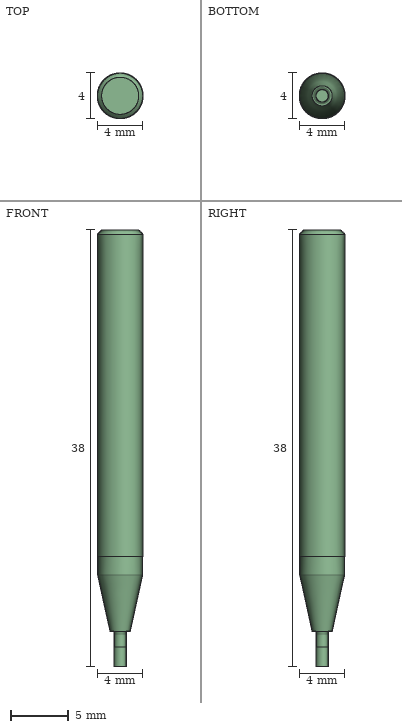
import cadquery as cq

total_length = 38.0

head_diameter = 1.1
head_length = 1.7

neck_diameter = 1.05
neck_top = 2.85
cone_bottom = 3.08
cone_bottom_diameter = 1.75
cone_top = 7.98
collar_diameter = 3.9
collar_top = 9.58
shank_diameter = 4.0
end_chamfer = 0.38


def make_cutting_head():
    """Plain cylinder at the tip of the tool."""
    return cq.Workplane("XY").circle(head_diameter / 2).extrude(head_length)


def make_shank():
    """Revolved neck, cone, collar and gripping shank, resting on the cutting head."""
    neck_radius = neck_diameter / 2
    root_radius = head_diameter / 2
    collar_radius = collar_diameter / 2
    shank_radius = shank_diameter / 2
    outline = [
        (0, head_length),
        (neck_radius, head_length),
        (neck_radius, neck_top),
        (root_radius, cone_bottom),
        (cone_bottom_diameter / 2, cone_bottom),
        (collar_radius, cone_top),
        (collar_radius, collar_top),
        (shank_radius, collar_top),
        (shank_radius, total_length - end_chamfer),
        (shank_radius - end_chamfer, total_length),
        (0, total_length),
    ]
    return cq.Workplane("XZ").polyline(outline).close().revolve(360, (0, 0), (0, 1))


cutting_head = make_cutting_head()
shank = make_shank()

result = cq.Compound.makeCompound([cutting_head.val(), shank.val()])